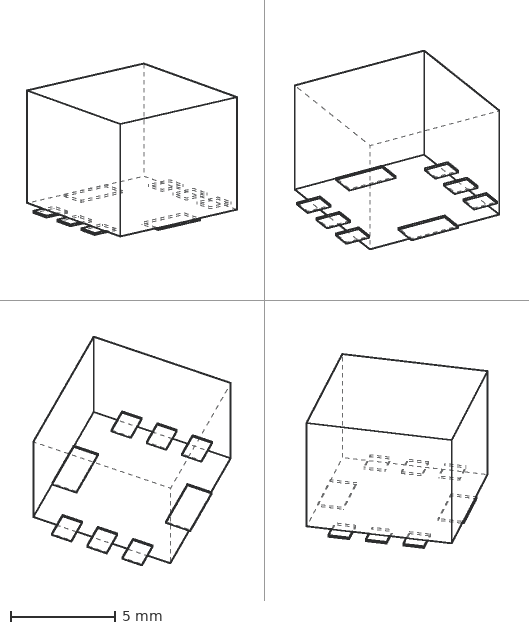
import cadquery as cq

overall_x = 7.26
overall_y = 8.38
overall_z = 5.75

housing_side = 7.2
terminal_thickness = 0.1
housing_height = overall_z - terminal_thickness

pin_width = 1.03
pin_pitch = 1.85
pad_width = 2.57
terminal_length = 1.28


def make_plate(size_x, size_y, center_x, center_y):
    """Flat terminal with its underside on the base plane."""
    return (
        cq.Workplane("XY")
        .center(center_x, center_y)
        .rect(size_x, size_y)
        .extrude(terminal_thickness)
    )


def make_housing():
    """Plain block resting on top of the terminals."""
    return (
        cq.Workplane("XY")
        .workplane(offset=terminal_thickness)
        .rect(housing_side, housing_side)
        .extrude(housing_height)
    )


def make_pin(column, side):
    """Pin reaching out to the Y limit on the given side (-1 or 1)."""
    center_y = side * (overall_y - terminal_length) / 2
    return make_plate(pin_width, terminal_length, column * pin_pitch, center_y)


def make_side_pad(side):
    """Wide pad reaching out to the X limit on the given side (-1 or 1)."""
    center_x = side * (overall_x - terminal_length) / 2
    return make_plate(terminal_length, pad_width, center_x, 0)


housing = make_housing()
pins = [make_pin(column, side) for side in (-1, 1) for column in (-1, 0, 1)]
side_pads = [make_side_pad(side) for side in (-1, 1)]

terminals = [terminal.val() for terminal in pins + side_pads]
result = cq.Compound.makeCompound([housing.val(), *terminals])